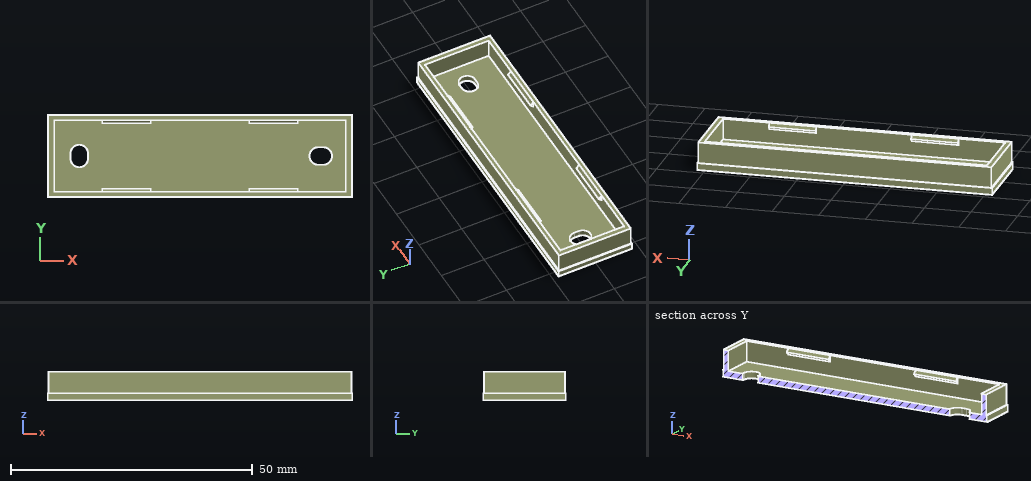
import cadquery as cq

length = 63.2
width = 17.2
height = 6.0
floor_thickness = 1.5

ledge = 0.2
end_wall = 1.2
side_wall = 0.95
body_length = length - 2 * ledge
body_width = width - 2 * ledge
cavity_length = body_length - 2 * end_wall
cavity_width = body_width - 2 * side_wall

slot_length = 4.6
slot_width = 3.6
slot_offset = 25.0

snap_length = 10.05
snap_depth = 0.7
snap_height = 2 * snap_depth
snap_offset = 15.2


def make_tray():
    base = cq.Workplane("XY").box(length, width, floor_thickness, centered=(True, True, False))
    body = cq.Workplane("XY").box(body_length, body_width, height, centered=(True, True, False))
    cavity = (
        cq.Workplane("XY", origin=(0, 0, floor_thickness))
        .rect(cavity_length, cavity_width)
        .extrude(height - floor_thickness)
    )
    return base.union(body).cut(cavity)


def make_slot(x, angle):
    return (
        cq.Workplane("XY", origin=(x, 0, 0))
        .slot2D(slot_length, slot_width, angle)
        .extrude(floor_thickness)
    )


def make_snap(x, side):
    """Ridge with its sloping faces meeting at a crest; side is +1 or -1 along Y."""
    wall_y = side * cavity_width / 2
    crest_y = wall_y - side * snap_depth
    return (
        cq.Workplane("YZ", origin=(x - snap_length / 2, 0, 0))
        .moveTo(wall_y, height)
        .lineTo(crest_y, height - snap_height / 2)
        .lineTo(wall_y, height - snap_height)
        .close()
        .extrude(snap_length)
    )


result = make_tray()
result = result.cut(make_slot(-slot_offset, 90))
result = result.cut(make_slot(slot_offset, 0))
for snap_x in (-snap_offset, snap_offset):
    for snap_side in (-1, 1):
        result = result.union(make_snap(snap_x, snap_side))